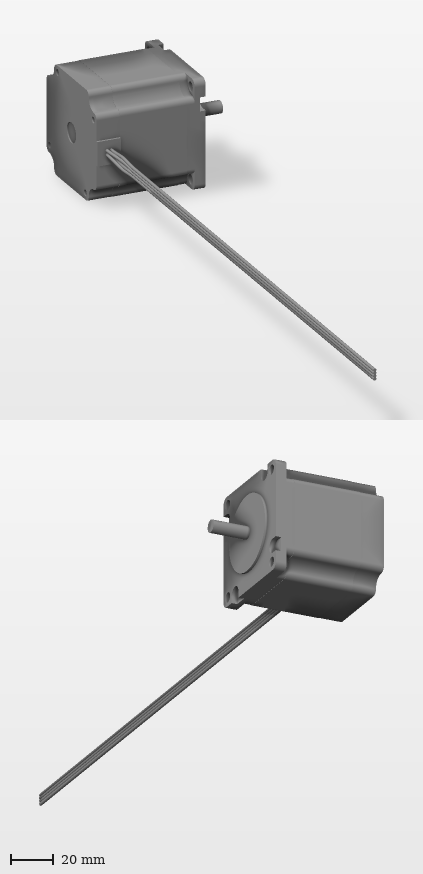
import cadquery as cq

body_width = 56.3
body_length = 56.3
overall_length = 76.5
overall_width = 356.5
half_width = body_width / 2
fuse_overlap = 0.7

corner_radius = 3.2
flange_thickness = 5.7
mount_hole_offset = 23.5
mount_hole_diameter = 5.0
relief_radius = 5.7
relief_lip_radius = 3.0

front_bell_length = 9.5
rear_bell_length = 12.0
bell_inset = 0.1

pilot_diameter = 38.5
pilot_height = 1.35
shaft_diameter = 6.5

rear_recess_diameter = 10.5
rear_recess_depth = 0.7
screw_near_offset = 15.7
screw_far_offset = 24.5
screw_hole_diameter = 3.2
screw_hole_depth = 3.5
notch_width = 7.0
notch_depth = 3.0

plate_thickness = 1.0
plate_height = 12.5
wire_diameter = 1.65
wire_pitch = 1.5
wire_count = 4
exit_spacing = 2.0
spread_x = 45.5
spread_inner = 1.0
spread_outer = 3.03
ribbon_start_x = 57.7
wire_end_x = overall_width - half_width
wire_y = rear_bell_length / 2


def box_along_y(width, start_y, end_y):
    """Square bar centred on the motor axis."""
    return cq.Workplane("XY").box(width, end_y - start_y, width).translate((0, (start_y + end_y) / 2, 0))


def cylinder_along_y(diameter, start_y, end_y, x=0, z=0):
    """Round bar parallel to the motor axis."""
    base = cq.Vector(x, start_y, z)
    return cq.Workplane(cq.Solid.makeCylinder(diameter / 2, end_y - start_y, base, cq.Vector(0, 1, 0)))


def quarter_turns(shape):
    """The shape at each of four quarter turns about the motor axis."""
    return [shape.rotate((0, 0, 0), (0, 1, 0), 90 * turn) for turn in range(4)]


def make_relief(start_y, end_y, inset):
    """Tool that clears one body corner: a concave arc with a rounded lip at each end."""
    side = half_width - inset
    outer = half_width + fuse_overlap
    lip = relief_lip_radius
    arc_center = side - lip
    inner = arc_center - relief_radius
    lip_start = inner - lip
    return (
        cq.Workplane("XZ", origin=(0, start_y, 0))
        .moveTo(inner, arc_center)
        .radiusArc((arc_center, inner), -relief_radius)
        .radiusArc((side, lip_start), lip)
        .lineTo(outer, lip_start)
        .lineTo(outer, outer)
        .lineTo(lip_start, outer)
        .lineTo(lip_start, side)
        .radiusArc((inner, arc_center), lip)
        .close()
        .extrude(start_y - end_y)
    )


def make_section(start_y, end_y, inset):
    """Length of square body with its four corners cleared."""
    section = box_along_y(body_width - 2 * inset, start_y, end_y)
    for relief in quarter_turns(make_relief(start_y, end_y, inset)):
        section = section.cut(relief)
    return section


def make_body():
    """Rear bell, slightly proud stator, front bell and the flange with rounded corners."""
    front_bell_start = body_length - front_bell_length
    flange_start = body_length - flange_thickness
    flange = box_along_y(body_width - 2 * bell_inset, flange_start, body_length)
    return (
        flange.edges("|Y").fillet(corner_radius)
        .union(make_section(front_bell_start, flange_start, bell_inset))
        .union(make_section(rear_bell_length, front_bell_start, 0))
        .union(make_section(0, rear_bell_length, bell_inset))
    )


def cut_holes(body):
    """Mounting holes, rear screw holes, front screw notches and the rear recess."""
    mount_hole = cylinder_along_y(
        mount_hole_diameter, 0, body_length, mount_hole_offset, mount_hole_offset
    )
    screw_hole = cylinder_along_y(
        screw_hole_diameter, 0, screw_hole_depth, -screw_near_offset, screw_far_offset
    )
    notch_floor = body_length - notch_depth
    notch = cylinder_along_y(
        notch_width, notch_floor, body_length, -screw_near_offset, screw_far_offset
    ).union(
        cq.Workplane("XY")
        .box(notch_width, notch_depth, notch_width, centered=(True, False, False))
        .translate((-screw_near_offset, notch_floor, screw_far_offset))
    )
    for tool in (mount_hole, screw_hole, notch):
        for cutter in quarter_turns(tool):
            body = body.cut(cutter)
    return body.cut(cylinder_along_y(rear_recess_diameter, 0, rear_recess_depth))


def make_plate():
    """Cover plate on the +X side of the rear bell where the wires leave."""
    return (
        cq.Workplane("XY")
        .box(plate_thickness + fuse_overlap, rear_bell_length, plate_height, centered=(False, False, True))
        .translate((half_width - fuse_overlap, 0, 0))
    )


def make_wire(index):
    """One wire: from the bundle at the plate, bowing out, then into the flat ribbon."""
    ribbon_z = (index - (wire_count - 1) / 2) * wire_pitch
    side = 1 if ribbon_z > 0 else -1
    layer = 1 if index % 2 else -1
    is_outer = index in (0, wire_count - 1)
    spread_z = side * (spread_outer if is_outer else spread_inner)
    start = (half_width, wire_y + layer * exit_spacing / 2, side * exit_spacing / 2)
    points = [start, (spread_x, wire_y, spread_z), (ribbon_start_x, wire_y, ribbon_z)]
    along_x = (1, 0, 0)
    path = cq.Workplane("XY").spline(points, tangents=[along_x, along_x])
    lead = cq.Workplane("YZ", origin=start).circle(wire_diameter / 2).sweep(path)
    straight = (
        cq.Workplane("YZ", origin=points[-1])
        .circle(wire_diameter / 2)
        .extrude(wire_end_x - ribbon_start_x)
    )
    return lead.union(straight)


pilot = cylinder_along_y(pilot_diameter, body_length - fuse_overlap, body_length + pilot_height)
shaft = cylinder_along_y(shaft_diameter, body_length, overall_length)

result = cut_holes(make_body()).union(pilot).union(shaft).union(make_plate())
for wire_index in range(wire_count):
    result = result.union(make_wire(wire_index), clean=False)